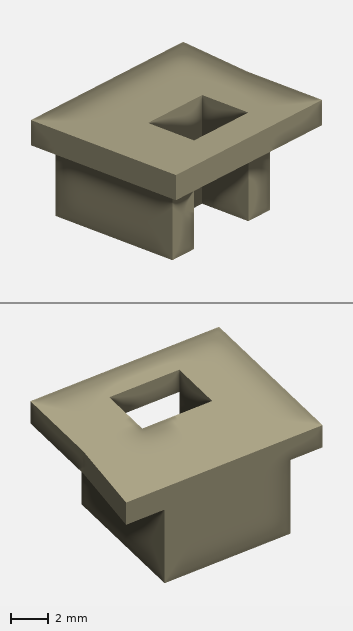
import cadquery as cq

plate_length = 10.27
plate_width = 12.06
plate_thickness = 1.51
corner_rise = 0.5
flare_length = 5.0

total_height = 6.5
block_height = total_height - plate_thickness
block_length = 8.26
block_width = 8.05
block_front = 2.05
block_center_y = block_front + block_width / 2

opening_start = flare_length
opening_length = block_length - opening_start
opening_width = 4.47


def make_plate():
    """Flat plate whose rear edge flares out towards the -X corner."""
    outline = [
        (0, 0),
        (plate_length, 0),
        (plate_length, plate_width),
        (flare_length, plate_width),
        (0, plate_width + corner_rise),
    ]
    return cq.Workplane("XY").workplane(offset=block_height).polyline(outline).close().extrude(plate_thickness)


def make_block():
    return cq.Workplane("XY").box(block_length, block_width, block_height, centered=False).translate(
        (0, block_front, 0)
    )


def make_opening():
    """Full-height cutter, centered across the block's width."""
    return (
        cq.Workplane("XY")
        .box(opening_length, opening_width, total_height, centered=(False, True, False))
        .translate((opening_start, block_center_y, 0))
    )


result = make_plate().union(make_block()).cut(make_opening())